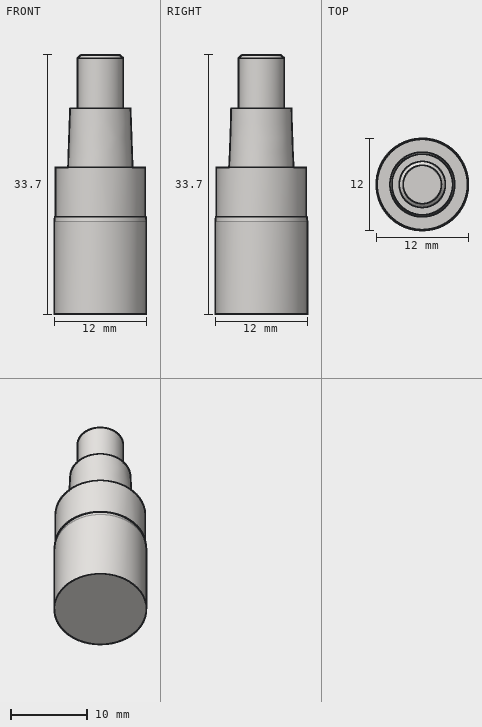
import cadquery as cq

total_height = 33.7
barrel_edge_height = 12.05
barrel_rim_height = 12.67
shoulder_height = 19.07
nose_height = 26.75

barrel_diameter = 12.0
barrel_rim_diameter = 11.85
collar_diameter = 11.73
nose_base_diameter = 8.42
nose_top_diameter = 7.9

pin_diameter = 6.0
tip_chamfer_width = 0.5
tip_chamfer_height = 0.45
pin_seat_height = shoulder_height

barrel_radius = barrel_diameter / 2
barrel_rim_radius = barrel_rim_diameter / 2
collar_radius = collar_diameter / 2
nose_base_radius = nose_base_diameter / 2
nose_top_radius = nose_top_diameter / 2
pin_radius = pin_diameter / 2


def make_housing():
    """Stepped round housing with a tapered nose and a blind bore for the pin."""
    return (
        cq.Workplane("XZ")
        .lineTo(barrel_radius, 0)
        .lineTo(barrel_radius, barrel_edge_height)
        .lineTo(barrel_rim_radius, barrel_rim_height)
        .lineTo(collar_radius, barrel_rim_height)
        .lineTo(collar_radius, shoulder_height)
        .lineTo(nose_base_radius, shoulder_height)
        .lineTo(nose_top_radius, nose_height)
        .lineTo(pin_radius, nose_height)
        .lineTo(pin_radius, pin_seat_height)
        .lineTo(0, pin_seat_height)
        .close()
        .revolve(360, (0, 0), (0, 1))
    )


def make_pin():
    """Round pin standing in the housing bore, with a chamfered tip."""
    return (
        cq.Workplane("XY", origin=(0, 0, pin_seat_height))
        .circle(pin_radius)
        .extrude(total_height - pin_seat_height)
        .faces(">Z")
        .edges()
        .chamfer(tip_chamfer_height, tip_chamfer_width)
    )


housing = make_housing()
pin = make_pin()
result = cq.Compound.makeCompound([housing.val(), pin.val()])